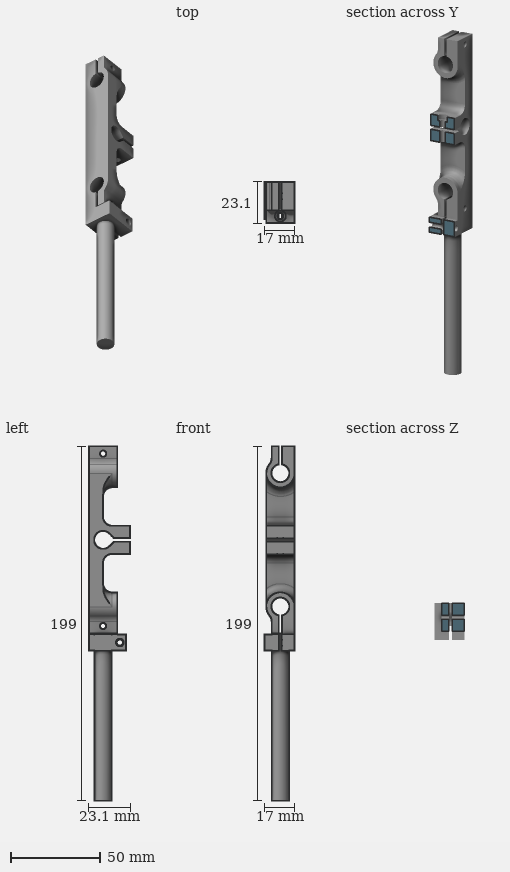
import cadquery as cq
import math

TOTAL_HEIGHT = 199.0

HALF_WIDTH = 8.0
BORE_RADIUS = 5.0
ARM_HEIGHT = 105.0
END_TO_BORE = 15.1
THIN_JAW_OUTER = 5.0
BLEND_RADIUS = 5.0
JAW_SLOT = 1.5

LUG_FRONT = -15.1
LUG_HALF_HEIGHT = 8.0
LUG_SLOT = 2.0
LUG_SCREW_Y = -11.1
COUNTERBORE_DIAMETER = 6.2
COUNTERBORE_DEPTH = 3.0

CLAMP_FRONT = -13.0
CLAMP_LEFT = -9.0
CLAMP_HEIGHT = 9.2
CLAMP_GAP = 0.5
CLAMP_SCREW_Y = -9.4
CLAMP_CLEARANCE_DIAMETER = 4.4

SCREW_DIAMETER = 3.4
JAW_SCREW_FROM_END = 4.2

ARM_BOTTOM = TOTAL_HEIGHT - ARM_HEIGHT
MIDDLE_Z = TOTAL_HEIGHT - ARM_HEIGHT / 2
BORE_OFFSET = ARM_HEIGHT / 2 - END_TO_BORE
CLAMP_TOP = ARM_BOTTOM - CLAMP_GAP
CLAMP_BOTTOM = CLAMP_TOP - CLAMP_HEIGHT
ROD_TOP = ARM_BOTTOM


def block(x_min, x_max, y_min, y_max, z_min, z_max):
    """Box given by its limits on each axis."""
    return cq.Workplane("XY").box(
        x_max - x_min, y_max - y_min, z_max - z_min, centered=False
    ).translate((x_min, y_min, z_min))


def cylinder_x(diameter, y, z):
    """Cutter along X that passes right through the holder."""
    return cq.Workplane("YZ").center(y, z).circle(diameter / 2).extrude(2 * HALF_WIDTH, both=True)


def upper_eye():
    """Split eye around a bore on the Y axis at the origin, with its jaws pointing up."""
    blend_x = -THIN_JAW_OUTER - BLEND_RADIUS
    centre_distance = HALF_WIDTH + BLEND_RADIUS
    blend_z = math.sqrt(centre_distance**2 - blend_x**2)
    tangent_x = blend_x * HALF_WIDTH / centre_distance
    tangent_z = blend_z * HALF_WIDTH / centre_distance
    half_angle = math.atan2(tangent_z, -tangent_x) / 2
    eye_middle = (-HALF_WIDTH * math.cos(half_angle), HALF_WIDTH * math.sin(half_angle))
    blend_middle = (
        blend_x + BLEND_RADIUS * math.cos(half_angle),
        blend_z - BLEND_RADIUS * math.sin(half_angle),
    )
    eye = (
        cq.Workplane("XZ")
        .moveTo(HALF_WIDTH, 0)
        .lineTo(HALF_WIDTH, END_TO_BORE)
        .lineTo(-THIN_JAW_OUTER, END_TO_BORE)
        .lineTo(-THIN_JAW_OUTER, blend_z)
        .threePointArc(blend_middle, (tangent_x, tangent_z))
        .threePointArc(eye_middle, (-HALF_WIDTH, 0))
        .threePointArc((0, -HALF_WIDTH), (HALF_WIDTH, 0))
        .close()
        .extrude(HALF_WIDTH, both=True)
    )
    return eye.union(eye_flare())


def eye_flare():
    """Concave flare from the eye down to the web face at Y = 0, trimmed to the arm width."""
    outer = HALF_WIDTH + BLEND_RADIUS
    diagonal = BLEND_RADIUS * math.sqrt(0.5)
    flare = (
        cq.Workplane("XY")
        .moveTo(0, 0)
        .lineTo(outer, 0)
        .threePointArc((outer - diagonal, diagonal - BLEND_RADIUS), (HALF_WIDTH, -BLEND_RADIUS))
        .lineTo(0, -BLEND_RADIUS)
        .close()
        .revolve(360, (0, 0, 0), (0, 1, 0))
    )
    return flare.intersect(block(-HALF_WIDTH, HALF_WIDTH, -BLEND_RADIUS, 0, -outer, 0))


def eye_cuts():
    """Bore, jaw slot and jaw screw hole of the upper eye."""
    bore = cq.Workplane("XZ").circle(BORE_RADIUS).extrude(2 * HALF_WIDTH, both=True)
    slot = block(-JAW_SLOT / 2, JAW_SLOT / 2, -HALF_WIDTH, HALF_WIDTH, 0, END_TO_BORE)
    screw_hole = cylinder_x(SCREW_DIAMETER, 0, END_TO_BORE - JAW_SCREW_FROM_END)
    return bore.union(slot).union(screw_hole)


def both_ends(shape):
    """Place an upper-eye shape at the upper bore and mirrored at the lower bore."""
    upper = shape.translate((0, 0, BORE_OFFSET))
    return upper.union(upper.mirror("XY")).translate((0, 0, MIDDLE_Z))


def web_and_lug():
    """Web between the end bores and the centre lug, blended together."""
    web = block(-HALF_WIDTH, HALF_WIDTH, 0, HALF_WIDTH, MIDDLE_Z - BORE_OFFSET, MIDDLE_Z + BORE_OFFSET)
    lug = block(
        -HALF_WIDTH, HALF_WIDTH, LUG_FRONT, HALF_WIDTH / 2,
        MIDDLE_Z - LUG_HALF_HEIGHT, MIDDLE_Z + LUG_HALF_HEIGHT,
    )
    inner_corners = cq.selectors.BoxSelector(
        (-HALF_WIDTH, -BLEND_RADIUS / 2, MIDDLE_Z - LUG_HALF_HEIGHT - BLEND_RADIUS / 2),
        (HALF_WIDTH, BLEND_RADIUS / 2, MIDDLE_Z + LUG_HALF_HEIGHT + BLEND_RADIUS / 2),
    )
    return web.union(lug).edges(inner_corners).fillet(BLEND_RADIUS)


def lug_cuts():
    """Cross bore with a tapered mouth, the lug slot and the counterbored screw hole."""
    tangent = BORE_RADIUS * math.sqrt(0.5)
    half_slot = LUG_SLOT / 2
    mouth_y = half_slot - 2 * tangent
    mouth = (
        cq.Workplane("YZ")
        .polyline([
            (0, 0), (-tangent, tangent), (mouth_y, half_slot), (LUG_FRONT, half_slot),
            (LUG_FRONT, -half_slot), (mouth_y, -half_slot), (-tangent, -tangent),
        ])
        .close()
        .extrude(HALF_WIDTH, both=True)
        .translate((0, 0, MIDDLE_Z))
    )
    screw_hole = (
        cq.Workplane("XY", origin=(0, LUG_SCREW_Y, MIDDLE_Z))
        .circle(SCREW_DIAMETER / 2)
        .extrude(LUG_HALF_HEIGHT, both=True)
    )
    counterbore = (
        cq.Workplane("XY", origin=(0, LUG_SCREW_Y, MIDDLE_Z + LUG_HALF_HEIGHT - COUNTERBORE_DEPTH))
        .circle(COUNTERBORE_DIAMETER / 2)
        .extrude(COUNTERBORE_DEPTH)
    )
    return cylinder_x(2 * BORE_RADIUS, 0, MIDDLE_Z).union(mouth).union(screw_hole).union(counterbore)


def rod_clamp():
    """Split clamp joined to the arm's thick lower jaw only."""
    clamp = block(CLAMP_LEFT, HALF_WIDTH, CLAMP_FRONT, HALF_WIDTH, CLAMP_BOTTOM, CLAMP_TOP)
    neck = block(JAW_SLOT / 2, HALF_WIDTH, -HALF_WIDTH, HALF_WIDTH, CLAMP_TOP, ARM_BOTTOM)
    return clamp.union(neck)


def clamp_cuts():
    """Rod bore, front slot and stepped cross screw hole of the clamp."""
    slot = block(-JAW_SLOT / 2, JAW_SLOT / 2, CLAMP_FRONT, 0, CLAMP_BOTTOM, CLAMP_TOP)
    rod_bore = (
        cq.Workplane("XY", origin=(0, 0, CLAMP_BOTTOM))
        .circle(BORE_RADIUS)
        .extrude(CLAMP_HEIGHT + CLAMP_GAP)
    )
    screw_z = CLAMP_BOTTOM + CLAMP_HEIGHT / 2
    screw_hole = cylinder_x(SCREW_DIAMETER, CLAMP_SCREW_Y, screw_z)
    clearance_hole = (
        cq.Workplane("YZ", origin=(CLAMP_LEFT, CLAMP_SCREW_Y, screw_z))
        .circle(CLAMP_CLEARANCE_DIAMETER / 2)
        .extrude(-CLAMP_LEFT)
    )
    return slot.union(rod_bore).union(screw_hole).union(clearance_hole)


def make_holder():
    """Arm with two end eyes, a centre lug and a rod clamp, all in one piece."""
    solid = web_and_lug().union(both_ends(upper_eye())).union(rod_clamp())
    return solid.cut(both_ends(eye_cuts())).cut(lug_cuts()).cut(clamp_cuts())


def make_rod():
    """Round rod held in the clamp."""
    return cq.Workplane("XY").circle(BORE_RADIUS).extrude(ROD_TOP)


holder = make_holder()
rod = make_rod()
result = cq.Compound.makeCompound([holder.val(), rod.val()])